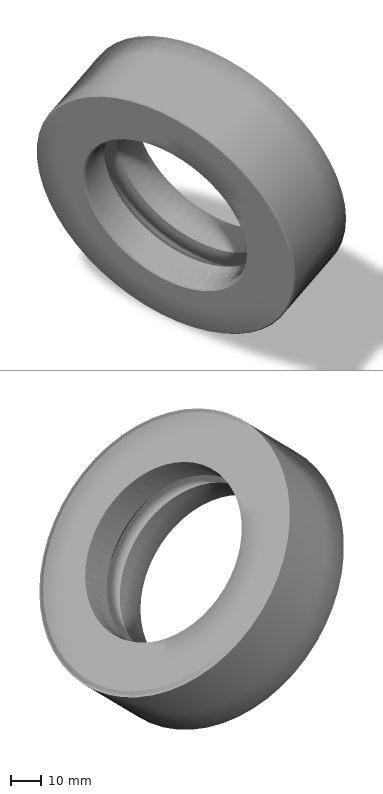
import cadquery as cq

outer_diameter = 101.6
total_width = 31.7
bore_diameter = 63.5

front_chamfer = 0.5
housing_width = 31.1

disc_diameter = 100.2
disc_face_diameter = 97.5

gap_width = 7.3
ring_center_diameter = 79.5

outer_radius = outer_diameter / 2
bore_radius = bore_diameter / 2
disc_radius = disc_diameter / 2
disc_face_radius = disc_face_diameter / 2
ring_section_radius = gap_width / 2
ring_center_radius = ring_center_diameter / 2
flange_width = (total_width - gap_width) / 2
disc_front = flange_width + gap_width


def revolve_profile(points):
    """Turn a closed (radius, Y) outline about the Y axis."""
    return cq.Workplane("XY").polyline(points).close().revolve(360, (0, 0, 0), (0, 1, 0))


def make_housing():
    """Front flange and thin outer wall, with a chamfered front rim and bore mouth."""
    return revolve_profile([
        (bore_radius + front_chamfer, 0),
        (outer_radius - front_chamfer, 0),
        (outer_radius, front_chamfer),
        (outer_radius, housing_width),
        (disc_radius, housing_width),
        (disc_radius, flange_width),
        (bore_radius, flange_width),
        (bore_radius, front_chamfer),
    ])


def make_rear_disc():
    """Washer that stands slightly proud of the housing, with a shallow conical rear rim."""
    return revolve_profile([
        (bore_radius, disc_front),
        (disc_radius, disc_front),
        (disc_radius, housing_width),
        (disc_face_radius, total_width),
        (bore_radius, total_width),
    ])


def make_round_ring():
    """Ring of circular section that touches the flange and the disc."""
    ring_center_y = flange_width + ring_section_radius
    return (
        cq.Workplane("XY")
        .center(ring_center_radius, ring_center_y)
        .circle(ring_section_radius)
        .revolve(360, (-ring_center_radius, 0, 0), (-ring_center_radius, 1, 0))
    )


housing = make_housing()
rear_disc = make_rear_disc()
round_ring = make_round_ring()

centering = cq.Vector(0, -total_width / 2, 0)
bodies = [body.val().translate(centering) for body in (housing, rear_disc, round_ring)]
result = cq.Compound.makeCompound(bodies)